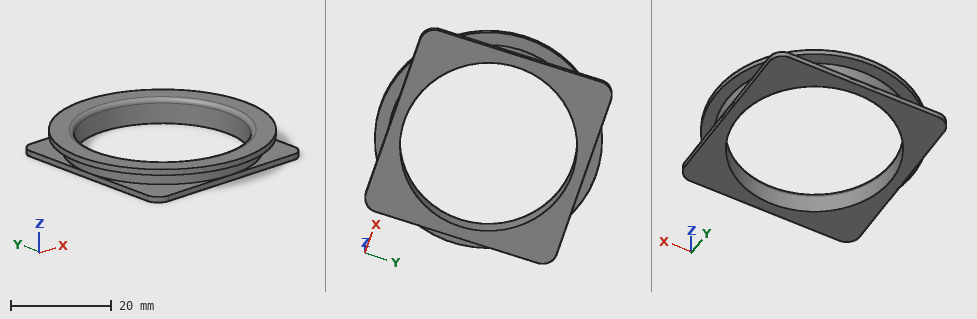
import cadquery as cq

flange_diameter = 45.2
body_diameter = 40.0
bore_diameter = 35.2
total_height = 5.4
plate_thickness = 1.2
flange_thickness = 1.2
plate_corner_radius = 3.0
bore_lip_radius = 1.0

plate_width = body_diameter


def make_base_plate():
    """Square plate with rounded corners, resting on Z = 0."""
    plate = cq.Workplane("XY").rect(plate_width, plate_width).extrude(plate_thickness)
    return plate.edges("|Z").fillet(plate_corner_radius)


def make_body():
    """Cylinder over the full height."""
    return cq.Workplane("XY").circle(body_diameter / 2).extrude(total_height)


def make_flange():
    """Round flange flush with the top."""
    flange_bottom = total_height - flange_thickness
    return (
        cq.Workplane("XY")
        .workplane(offset=flange_bottom)
        .circle(flange_diameter / 2)
        .extrude(flange_thickness)
    )


def cut_bore(solid):
    """Through bore with a rounded lip at the top."""
    bored = solid.faces(">Z").workplane(origin=(0, 0, 0)).hole(bore_diameter)
    top_bore_edge = bored.faces(">Z").edges(cq.selectors.RadiusNthSelector(0))
    return top_bore_edge.fillet(bore_lip_radius)


ring = make_base_plate().union(make_body()).union(make_flange())
result = cut_bore(ring)